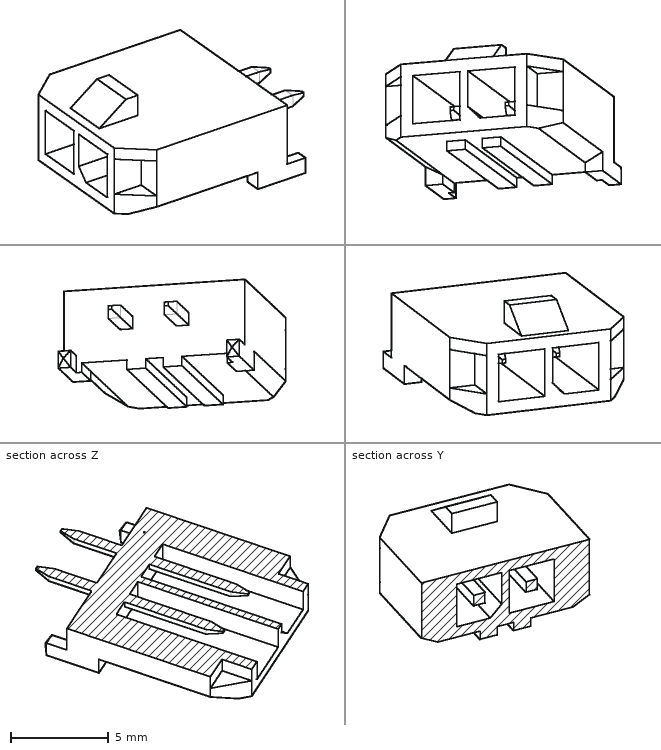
import cadquery as cq


body_width = 9.65
body_length = 9.89
body_height = 3.88
corner_width = 1.40
corner_length = 1.69
side_wall = 0.66
corner_pocket_floor = 1.15

pitch = 3.0
cavity_size = body_height - 2 * side_wall
cavity_depth = 8.0
key_chamfer = 0.66

pin_size = 0.66
pin_height = 1.97
pin_rear_reach = 3.29
pin_recess = 2.5
pin_tip_length = 0.87
pin_tip_size = 0.20

latch_width = 2.60
latch_height = 1.19
latch_front = 0.54
latch_back = 2.96
latch_flat = 0.75

foot_height = 0.50
foot_width = 0.95
foot_length = 1.845
bevel_height = 0.50
rail_width = 1.00
rail_spacing = 1.93
rail_front = 1.61
peg_width = 0.66
peg_height = 0.90
peg_length = 1.15
peg_tip_length = 0.235

half_width = body_width / 2
foot_front = body_length - foot_length
sides = (-1, 1)


def box(x_center, width, y_start, length, z_start, height):
    """Box centred on x_center, growing from y_start and z_start."""
    return (
        cq.Workplane("XY")
        .box(width, length, height, centered=(True, False, False))
        .translate((x_center, y_start, z_start))
    )


def cross_plane(x, y, z, facing):
    """X-Z work plane at a point, facing +Y (facing = 1) or -Y (facing = -1)."""
    return cq.Workplane(cq.Plane(origin=(x, y, z), xDir=(1, 0, 0), normal=(0, facing, 0)))


def tapered_tip(plane):
    """Blunt four-sided pin tip growing along the plane normal."""
    return (
        plane.rect(pin_size, pin_size)
        .workplane(offset=pin_tip_length)
        .rect(pin_tip_size, pin_tip_size)
        .loft(ruled=True)
    )


def make_housing():
    """Block with slanted front corners."""
    front_half_width = half_width - corner_width
    outline = [
        (-front_half_width, 0),
        (front_half_width, 0),
        (half_width, corner_length),
        (half_width, body_length),
        (-half_width, body_length),
        (-half_width, corner_length),
    ]
    return cq.Workplane("XY").polyline(outline).close().extrude(body_height)


def make_corner_pocket(side):
    """Square-cornered notch behind one slanted front corner."""
    pocket_height = body_height - side_wall - corner_pocket_floor
    x_center = side * (half_width - corner_width / 2)
    return box(x_center, corner_width, 0, corner_length, corner_pocket_floor, pocket_height)


def make_side_bevel(side):
    """Wedge removed along one lower side edge, up to the foot."""
    edge = side * half_width
    profile = [(edge, 0), (edge - side * foot_width, 0), (edge, bevel_height)]
    return cq.Workplane("XZ").polyline(profile).close().extrude(-foot_front)


def make_cavity(x_center, keyed):
    """Contact cavity; the keyed one has its lower left corner filled."""
    cavity = box(x_center, cavity_size, 0, cavity_depth, side_wall, cavity_size)
    if keyed:
        cavity = cavity.edges("|Y and <X and <Z").chamfer(key_chamfer)
    return cavity


def make_pin(x_center):
    """Square pin through the rear wall, tapered at both ends."""
    shank_front = pin_recess + pin_tip_length
    shank_rear = body_length + pin_rear_reach - pin_tip_length
    shank = box(
        x_center, pin_size,
        shank_front, shank_rear - shank_front,
        pin_height - pin_size / 2, pin_size,
    )
    front_tip = tapered_tip(cross_plane(x_center, shank_front, pin_height, -1))
    rear_tip = tapered_tip(cross_plane(x_center, shank_rear, pin_height, 1))
    return shank.union(front_tip).union(rear_tip)


def make_latch():
    """Latch ramp rising from the front to a short flat."""
    top = body_height + latch_height
    profile = [
        (latch_front, body_height),
        (latch_back, body_height),
        (latch_back, top),
        (latch_back - latch_flat, top),
    ]
    return cq.Workplane("YZ").polyline(profile).close().extrude(latch_width / 2, both=True)


def pyramid(base_corners, apex):
    """Solid pyramid on a four-cornered base."""
    faces = [cq.Face.makeFromWires(cq.Wire.makePolygon(base_corners, close=True))]
    for start, end in zip(base_corners, base_corners[1:] + base_corners[:1]):
        faces.append(cq.Face.makeFromWires(cq.Wire.makePolygon([start, end, apex], close=True)))
    return cq.Workplane(cq.Solid.makeSolid(cq.Shell.makeShell(faces)))


def make_foot(side):
    """Foot under one rear corner with a pointed peg standing out behind it."""
    foot_center = side * (half_width - foot_width / 2)
    foot = box(foot_center, foot_width, foot_front, foot_length, -foot_height, foot_height)

    peg_center = side * (half_width - peg_width / 2)
    peg_rear = body_length + peg_length
    peg = box(
        peg_center, peg_width,
        foot_front, peg_rear - foot_front,
        -foot_height, peg_height,
    )
    left = peg_center - peg_width / 2
    right = peg_center + peg_width / 2
    bottom = -foot_height
    top = bottom + peg_height
    base_corners = [
        cq.Vector(left, peg_rear, bottom),
        cq.Vector(right, peg_rear, bottom),
        cq.Vector(right, peg_rear, top),
        cq.Vector(left, peg_rear, top),
    ]
    apex = cq.Vector(peg_center, peg_rear + peg_tip_length, (bottom + top) / 2)
    return foot.union(peg).union(pyramid(base_corners, apex))


def make_rail(x_center):
    """Standoff rail under the housing, running to the rear face."""
    return box(x_center, rail_width, rail_front, body_length - rail_front, -foot_height, foot_height)


result = make_housing().union(make_latch())
for side in sides:
    result = result.cut(make_corner_pocket(side))
    result = result.cut(make_side_bevel(side))
    result = result.cut(make_cavity(side * pitch / 2, keyed=side > 0))
for side in sides:
    result = result.union(make_foot(side))
    result = result.union(make_rail(side * rail_spacing / 2))
    result = result.union(make_pin(side * pitch / 2))